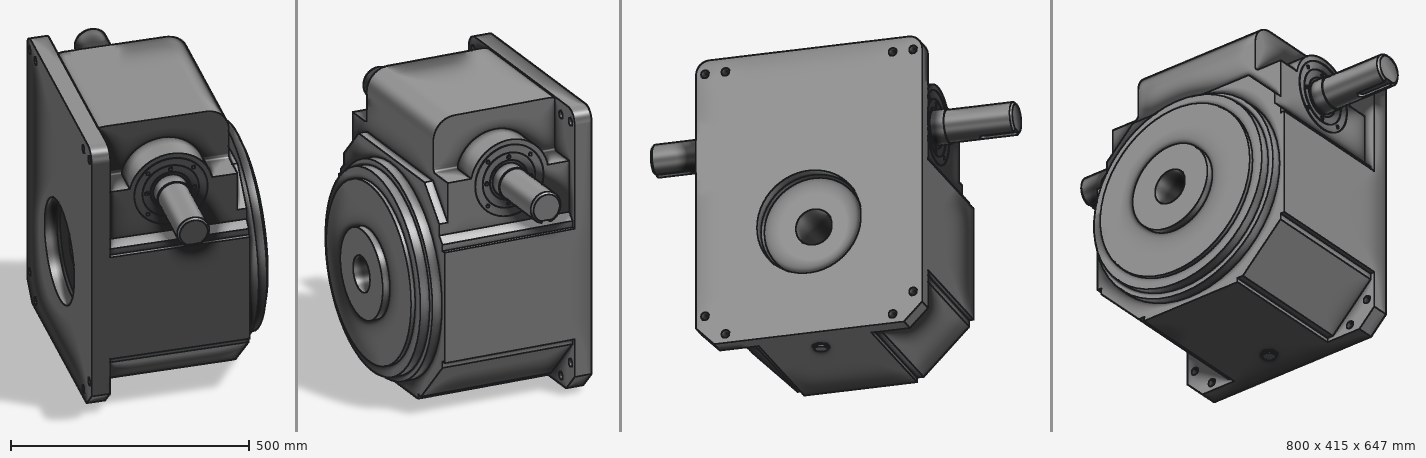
import cadquery as cq


plate_width = 500.0
plate_height = 640
plate_thickness = 40
plate_bottom = -plate_width / 2
plate_top = plate_bottom + plate_height
plate_corner_radius = 30.0
plate_corner_chamfer = 40
mount_hole_diameter = 18.0
mount_hole_inset = 20.0
mount_hole_offset = 185.0
mount_hole_drop = 30.0

housing_back = 345.0
housing_top = plate_width / 2
top_chamfer = 70.0
shoulder_half_width = 225.0
rib_half_width = 240
rib_end = 139.0
pad_half_length = 125.0

shoulder_back = 325.0
shoulder_top = 270.0
block_half_width = 157.0
block_fillet = 50.0
block_front = 6.0
shoulder_fillet = 10.0

flange_steps = [(238.0, 367.0), (225.0, 389.0), (200, 398.0), (100.0, 415.0)]
bore_diameter = 80
recess_radius = 115.0
recess_depth = 33.0
recess_edge = 6.0

shaft_y = 180.0
shaft_z = plate_width / 2
shaft_length = 800
shaft_radius = 35.0
shaft_chamfer = 5.0
collar_radius = 38.0
boss_radius = 92.0
keyway_width = 20.0
keyway_length = 82.0
keyway_floor = 27.0

cover_step_radii = [80, 62.0, 44.0]
cover_step_depth = 2.0
screw_depth = 12.0
seal_screw_circle = 52.0
seal_screw_diameter = 8
cover_screw_circle = 70.0
cover_screw_diameter = 7.0

plug_y = 80
plug_flats = 33.0
plug_hex_height = 3.0
plug_cap_diameter = 29.0
plug_height = 7.0


def along_y(start):
    """Sketch plane facing +Y at the given Y, with sketch axes (-X, Z)."""
    return cq.Workplane("XZ", origin=(0, start, 0)).transformed(rotate=(0, 180, 0))


def along_x(start):
    """Sketch plane facing +X on the shaft axis, with sketch axes (Y, Z)."""
    return cq.Workplane("YZ", origin=(start, shaft_y, shaft_z))


def box_between(half_width, y_range, z_range):
    """Box centred on X = 0."""
    depth = y_range[1] - y_range[0]
    height = z_range[1] - z_range[0]
    corner = cq.Workplane("XY", origin=(0, y_range[0], z_range[0]))
    return corner.box(2 * half_width, depth, height, centered=(True, False, False))


def base_plate():
    plate = box_between(plate_width / 2, (0, plate_thickness), (plate_bottom, plate_top))
    plate = plate.edges("|Y and >Z").fillet(plate_corner_radius)
    plate = plate.edges("|Y and <Z").chamfer(plate_corner_chamfer)
    outer = plate_width / 2 - mount_hole_inset
    holes = []
    for side in (-1, 1):
        holes += [
            (side * outer, plate_top - mount_hole_drop),
            (side * mount_hole_offset, plate_top - mount_hole_drop),
            (side * outer, -mount_hole_offset),
            (side * mount_hole_offset, -outer),
        ]
    drills = along_y(0).pushPoints(holes).circle(mount_hole_diameter / 2).extrude(plate_thickness)
    return plate.cut(drills)


def housing():
    """Octagonal housing with a raised pad on each side and underneath."""
    half_width = plate_width / 2
    right_side = [
        (shoulder_half_width - top_chamfer, housing_top),
        (shoulder_half_width, housing_top - top_chamfer),
        (shoulder_half_width, rib_end + rib_half_width - shoulder_half_width),
        (rib_half_width, rib_end),
        (rib_half_width, pad_half_length),
        (half_width, pad_half_length),
        (half_width, -pad_half_length),
        (rib_half_width, -pad_half_length),
        (rib_half_width, -rib_end),
        (rib_end, -rib_half_width),
        (pad_half_length, -rib_half_width),
        (pad_half_length, -half_width),
    ]
    left_side = [(-x, z) for x, z in reversed(right_side)]
    depth = housing_back - plate_thickness
    return along_y(plate_thickness).polyline(right_side + left_side).close().extrude(depth)


def upper_housing():
    """Shoulders carrying the bosses, and the rounded block between them."""
    y_range = (plate_thickness, shoulder_back)
    shoulder = box_between(shoulder_half_width, y_range, (shaft_z - boss_radius, shoulder_top))
    block = box_between(block_half_width, (block_front, shoulder_back), (shoulder_top, plate_top))
    block = block.edges("|X and >Z").fillet(block_fillet)
    block = block.intersect(box_between(block_half_width, y_range, (shoulder_top, plate_top)))
    upper = shoulder.union(block)
    for side in (-1, 1):
        inner_corner = cq.NearestToPointSelector((side * block_half_width, shaft_y, shoulder_top))
        upper = upper.edges("|Y").edges(inner_corner).fillet(shoulder_fillet)
    return upper


def output_flange():
    flange = cq.Workplane("XY")
    for radius, face in flange_steps:
        flange = flange.union(along_y(housing_back).circle(radius).extrude(face - housing_back))
    return flange


def input_shaft():
    shaft = along_x(-shaft_length / 2).circle(shaft_radius).extrude(shaft_length)
    shaft = shaft.faces("<X or >X").chamfer(shaft_chamfer)
    collar = along_x(-plate_width / 2).circle(collar_radius).extrude(plate_width)
    return shaft.union(collar)


def bearing_bosses():
    return along_x(-shoulder_half_width).circle(boss_radius).extrude(2 * shoulder_half_width)


def output_bore():
    bore = along_y(0).circle(bore_diameter / 2).extrude(flange_steps[-1][1])
    recess = along_y(0).circle(recess_radius).extrude(recess_depth).faces(">Y").chamfer(recess_edge)
    return bore.union(recess)


def keyway():
    """Open keyway in the underside of the +X shaft end, with a round inner end."""
    radius = keyway_width / 2
    tip = shaft_length / 2
    centre = tip - keyway_length + radius
    sketch = cq.Workplane("XY", origin=(0, shaft_y, shaft_z - keyway_floor))
    return (
        sketch.moveTo(tip, -radius)
        .lineTo(centre, -radius)
        .threePointArc((centre - radius, 0), (centre, radius))
        .lineTo(tip, radius)
        .close()
        .extrude(-shaft_radius)
    )


def screw_holes(circle_radius, start_angle, diameter):
    """Four blind holes in the +X boss face."""
    face = along_x(shoulder_half_width)
    return face.polarArray(circle_radius, start_angle, 360, 4).circle(diameter / 2).extrude(-screw_depth)


def cover_details():
    """Stepped cover recess around the shaft collar, with its screw holes, on the +X side."""
    face = along_x(shoulder_half_width)
    details = screw_holes(seal_screw_circle, 0, seal_screw_diameter)
    details = details.union(screw_holes(cover_screw_circle, 45, cover_screw_diameter))
    for level, radius in enumerate(cover_step_radii, start=1):
        details = details.union(face.circle(radius).circle(collar_radius).extrude(-level * cover_step_depth))
    return details


def drain_plug():
    sketch = cq.Workplane("XY", origin=(0, plug_y, plate_bottom))
    hexagon = sketch.polygon(6, plug_flats, circumscribed=True).extrude(-plug_hex_height)
    cap = sketch.circle(plug_cap_diameter / 2).extrude(-plug_height)
    return hexagon.union(cap)


result = base_plate()
for piece in (housing(), upper_housing(), output_flange(), bearing_bosses(), input_shaft(), drain_plug()):
    result = result.union(piece)

result = result.cut(output_bore())
for cutter in (keyway(), cover_details()):
    result = result.cut(cutter).cut(cutter.mirror("YZ"))